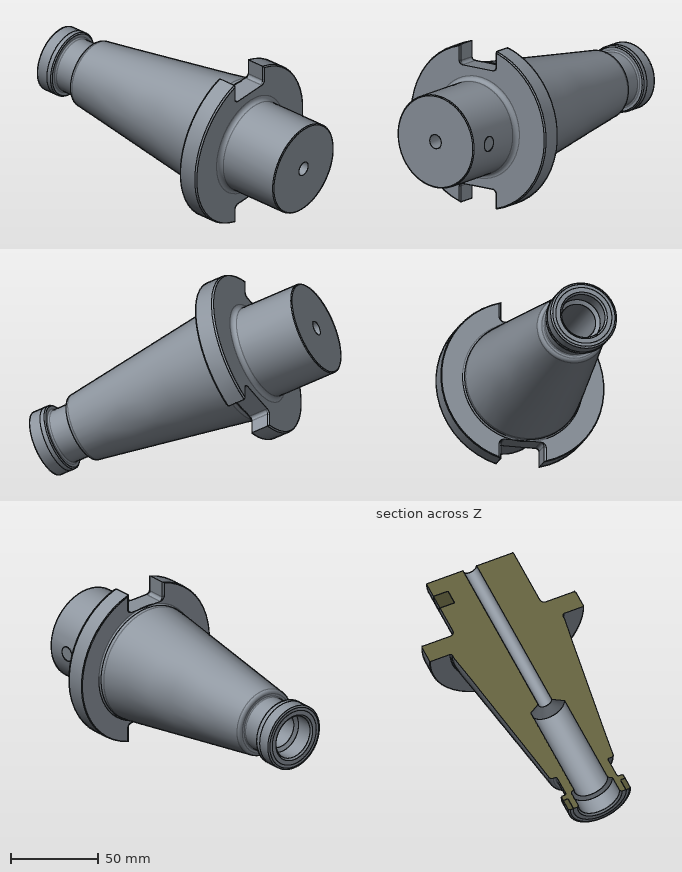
import cadquery as cq
import math

total_length = 182.0

tail_radius = 19.7
tail_length = 11.1
tail_back_chamfer = 0.7
neck_radius = 16.2
neck_front_fillet = 1.0
neck_back_fillet = 0.5

ring_length = 7.6
ring_inner_radius = 16.7
ring_chamfer_axial = 0.5
ring_chamfer_radial = 1.1

taper_ratio = 7 / 24
taper_start = 24.5
taper_end = 126.7
taper_end_radius = 35.0
taper_edge_fillet = 2.2
root_fillet = 1.0

flange_diameter = 97.4
flange_radius = flange_diameter / 2
flange_start = 130.0
flange_width = 12.2
flange_end = flange_start + flange_width
front_chamfer_axial = 0.5
front_chamfer_radial = 0.4
back_chamfer_axial = 1.1
back_chamfer_radial = 0.5

slot_width = 25.7
slot_half_width = slot_width / 2
slot_floor = 35.3
slot_corner_radius = 2.0
slot_front_flare = 1.3
slot_back_flare = 0.5

nose_radius = 27.5
nose_fillet = 2.7
nose_chamfer = 0.5

mouth_radius = 13.0
mouth_chamfer = 1.1
mouth_depth = 11.1
core_radius = 10.5
core_depth = 72.8
through_radius = 4.2
drill_point_half_angle = math.radians(59)

screw_x = 167.5
screw_radius = 4.4
screw_length = 9.1
screw_foot_y = nose_radius - screw_length


def taper_radius_at(x):
    """Radius of the taper cone at a position along the axis."""
    return taper_end_radius - (taper_end - x) * taper_ratio / 2


def turned(profile):
    """Close a profile of (x, radius) points and turn it about the X axis."""
    return profile.close().revolve(360, (0, 0, 0), (1, 0, 0))


def drill_point_length(large_radius, small_radius):
    """Axial length of a drill-point cone between two radii."""
    return (large_radius - small_radius) / math.tan(drill_point_half_angle)


def make_shank():
    """Tail, neck, taper and nose, solid and without the flange rim."""
    taper_edge_x = taper_start + taper_edge_fillet
    root_radius = taper_end_radius + root_fillet
    profile = (
        cq.Workplane("XZ")
        .lineTo(0, ring_inner_radius)
        .lineTo(ring_length, ring_inner_radius)
        .lineTo(ring_length, tail_radius)
        .lineTo(tail_length - tail_back_chamfer, tail_radius)
        .lineTo(tail_length, tail_radius - tail_back_chamfer)
        .lineTo(tail_length, neck_radius + neck_front_fillet)
        .radiusArc((tail_length + neck_front_fillet, neck_radius), -neck_front_fillet)
        .lineTo(taper_start - neck_back_fillet, neck_radius)
        .radiusArc((taper_start, neck_radius + neck_back_fillet), -neck_back_fillet)
        .lineTo(taper_start, taper_radius_at(taper_edge_x) - taper_edge_fillet)
        .radiusArc((taper_edge_x, taper_radius_at(taper_edge_x)), taper_edge_fillet)
        .lineTo(taper_end, taper_end_radius)
        .lineTo(flange_start - root_fillet, taper_end_radius)
        .radiusArc((flange_start, root_radius), -root_fillet)
        .lineTo(flange_start, nose_radius + nose_fillet)
        .lineTo(flange_end, nose_radius + nose_fillet)
        .radiusArc((flange_end + nose_fillet, nose_radius), -nose_fillet)
        .lineTo(total_length - nose_chamfer, nose_radius)
        .lineTo(total_length, nose_radius - nose_chamfer)
        .lineTo(total_length, 0)
    )
    return turned(profile)


def make_flange():
    """Flange disc with chamfered rims and the two drive slots."""
    profile = (
        cq.Workplane("XZ")
        .moveTo(flange_start, 0)
        .lineTo(flange_start, flange_radius - front_chamfer_radial)
        .lineTo(flange_start + front_chamfer_axial, flange_radius)
        .lineTo(flange_end - back_chamfer_axial, flange_radius)
        .lineTo(flange_end, flange_radius - back_chamfer_radial)
        .lineTo(flange_end, 0)
    )
    flange = turned(profile)
    for angle in (0, 180):
        flange = flange.cut(make_slot_cutter().rotate((0, 0, 0), (1, 0, 0), angle))
    return flange


def slot_section(x, flare):
    """Cross-section of a drive slot whose walls are set out by a flare above a constant floor."""
    half_width = slot_half_width + flare
    corner_radius = slot_corner_radius + flare
    floor_half_width = half_width - corner_radius
    wall_foot = slot_floor + corner_radius
    sketch = (
        cq.Workplane("YZ", origin=(x, 0, 0))
        .moveTo(-half_width, flange_radius)
        .lineTo(-half_width, wall_foot)
        .radiusArc((-floor_half_width, slot_floor), -corner_radius)
        .lineTo(floor_half_width, slot_floor)
        .radiusArc((half_width, wall_foot), -corner_radius)
        .lineTo(half_width, flange_radius)
        .close()
    )
    return sketch.val()


def make_slot_cutter():
    """Volume of the upper drive slot, flared at both ends to bevel the edges of its walls."""
    sections = [
        slot_section(flange_start, slot_front_flare),
        slot_section(flange_start + front_chamfer_axial, 0),
        slot_section(flange_end - back_chamfer_axial, 0),
        slot_section(flange_end, slot_back_flare),
    ]
    return cq.Workplane(cq.Solid.makeLoft(sections, True))


def make_bore():
    """Stepped bore from the tail end, running through to the nose end."""
    core_start = mouth_depth + drill_point_length(mouth_radius, core_radius)
    through_start = core_depth + drill_point_length(core_radius, through_radius)
    profile = (
        cq.Workplane("XZ")
        .lineTo(0, mouth_radius + mouth_chamfer)
        .lineTo(mouth_chamfer, mouth_radius)
        .lineTo(mouth_depth, mouth_radius)
        .lineTo(core_start, core_radius)
        .lineTo(core_depth, core_radius)
        .lineTo(through_start, through_radius)
        .lineTo(total_length, through_radius)
        .lineTo(total_length, 0)
    )
    return turned(profile)


def make_holder():
    """Main body, with the bore and a blind hole that the clamping screw fills."""
    solid = make_shank().union(make_flange())
    return solid.cut(make_bore()).cut(make_clamping_screw())


def make_tail_ring():
    """Ring that fills the step at the front of the tail."""
    profile = (
        cq.Workplane("XZ")
        .moveTo(0, ring_inner_radius)
        .lineTo(0, tail_radius - ring_chamfer_radial)
        .lineTo(ring_chamfer_axial, tail_radius)
        .lineTo(ring_length, tail_radius)
        .lineTo(ring_length, ring_inner_radius)
    )
    return turned(profile)


def make_clamping_screw():
    """Plain headless screw pointing in from the +Y side."""
    return (
        cq.Workplane("XZ", origin=(screw_x, screw_foot_y, 0))
        .circle(screw_radius)
        .extrude(-screw_length)
    )


holder = make_holder()
tail_ring = make_tail_ring()
clamping_screw = make_clamping_screw()

result = cq.Compound.makeCompound([holder.val(), tail_ring.val(), clamping_screw.val()])